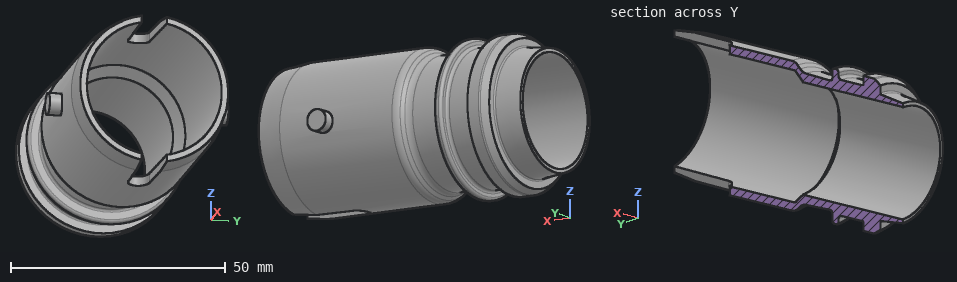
import cadquery as cq
import math

LENGTH = 71.12
FLANGE_RADIUS = 19.05
WALL = 2.29

SPIGOT_TIP_RADIUS = 14.73
SPIGOT_TAPER = 7.0
BORE_RADIUS = 13.72

FLANGE_START = 6.73
FLANGE_END = 11.94
FLANGE_CHAMFER_DEPTH = 1.33
FLANGE_CHAMFER_ANGLE = 35.0
FLANGE_CHAMFER_ROUND = 0.76

GROOVE_RADIUS = 16.7
RING_START = 19.3
RING_END = 21.34
RING_ROUND = 0.76
SMALL_ROUND = 0.38
RING_BACK_ROUND = 0.6

NECK_RADIUS = 15.88
NECK_TAPER = 1.7
SHOULDER_MIDDLE = 31.25
SHOULDER_ROUND = 2.54

SLEEVE_RADIUS = 18.415
SLEEVE_BORE_RADIUS = SLEEVE_RADIUS - WALL
NOSE_LENGTH = 6.35
NOSE_TAPER = 6.5

SLOT_START = 52.1
SLOT_END_RADIUS = 2.54
SLOT_FLARE = 1.6

PIN_X = 52.55
PIN_DIAMETER = 5.15
PIN_SPAN = 42.67


def rise(run, angle):
    """Change in radius over an axial run on a slope of the given angle."""
    return run * math.tan(math.radians(angle))


def rounded_outline(corners):
    """Closed XZ outline from (x, radius, rounding) corners; a rounding of 0 stays sharp."""
    outline = None
    for i, (x, r, rounding) in enumerate(corners):
        corner = cq.Vector(x, r)
        if rounding == 0:
            start = end = corner
        else:
            previous = corners[i - 1]
            following = corners[(i + 1) % len(corners)]
            back = (cq.Vector(previous[0], previous[1]) - corner).normalized()
            ahead = (cq.Vector(following[0], following[1]) - corner).normalized()
            half_angle = back.getAngle(ahead) / 2
            start = corner + back * (rounding / math.tan(half_angle))
            end = corner + ahead * (rounding / math.tan(half_angle))
            to_crown = rounding / math.sin(half_angle) - rounding
            crown = corner + (back + ahead).normalized() * to_crown
        if outline is None:
            outline = cq.Workplane("XZ").moveTo(start.x, start.y)
        else:
            outline = outline.lineTo(start.x, start.y)
        if rounding:
            outline = outline.threePointArc((crown.x, crown.y), (end.x, end.y))
    return outline.close()


def make_body():
    """Hollow turned body, revolved about the X axis."""
    spigot_base_radius = SPIGOT_TIP_RADIUS + rise(FLANGE_START, SPIGOT_TAPER)
    chamfer_run = FLANGE_CHAMFER_DEPTH / math.tan(math.radians(FLANGE_CHAMFER_ANGLE))
    neck_end_radius = NECK_RADIUS + rise(SHOULDER_MIDDLE - RING_END, NECK_TAPER)
    shoulder_half = (SLEEVE_RADIUS - neck_end_radius) / 2
    shoulder_start = SHOULDER_MIDDLE - shoulder_half
    shoulder_end = SHOULDER_MIDDLE + shoulder_half
    nose_start = LENGTH - NOSE_LENGTH
    nose_radius = SLEEVE_RADIUS - rise(NOSE_LENGTH, NOSE_TAPER)
    bore_step_half = (SLEEVE_BORE_RADIUS - BORE_RADIUS) / 2

    outside = [
        (0, SPIGOT_TIP_RADIUS, 0),
        (FLANGE_START, spigot_base_radius, SMALL_ROUND),
        (FLANGE_START, FLANGE_RADIUS - FLANGE_CHAMFER_DEPTH, 0),
        (FLANGE_START + chamfer_run, FLANGE_RADIUS, FLANGE_CHAMFER_ROUND),
        (FLANGE_END, FLANGE_RADIUS, 0),
        (FLANGE_END, GROOVE_RADIUS, SMALL_ROUND),
        (RING_START, GROOVE_RADIUS, RING_ROUND),
        (RING_START, FLANGE_RADIUS, RING_ROUND),
        (RING_END, FLANGE_RADIUS, RING_ROUND),
        (RING_END, NECK_RADIUS, RING_BACK_ROUND),
        (shoulder_start, neck_end_radius, SHOULDER_ROUND),
        (shoulder_end, SLEEVE_RADIUS, SHOULDER_ROUND),
        (nose_start, SLEEVE_RADIUS, 0),
        (LENGTH, nose_radius, 0),
    ]
    inside = [
        (LENGTH, SLEEVE_BORE_RADIUS, 0),
        (SHOULDER_MIDDLE + bore_step_half, SLEEVE_BORE_RADIUS, 0),
        (SHOULDER_MIDDLE - bore_step_half, BORE_RADIUS, 0),
        (0, BORE_RADIUS, 0),
    ]
    return rounded_outline(outside + inside).revolve(360, (0, 0), (1, 0))


def make_slot():
    """Round-ended slot, flaring toward the open end, through both walls."""
    flare = math.radians(SLOT_FLARE)
    centre_x = SLOT_START + SLOT_END_RADIUS
    tangent_x = centre_x - SLOT_END_RADIUS * math.sin(flare)
    tangent_y = SLOT_END_RADIUS * math.cos(flare)
    mouth_y = tangent_y + rise(LENGTH - tangent_x, SLOT_FLARE)
    return (
        cq.Workplane("XY")
        .moveTo(LENGTH, -mouth_y)
        .lineTo(tangent_x, -tangent_y)
        .threePointArc((SLOT_START, 0), (tangent_x, tangent_y))
        .lineTo(LENGTH, mouth_y)
        .close()
        .extrude(SLEEVE_RADIUS, both=True)
    )


def make_pin(side):
    """Round pin rooted mid-wall in the sleeve; side is +1 or -1 along Y."""
    root = SLEEVE_RADIUS - WALL / 2
    direction = cq.Vector(0, side, 0)
    start = cq.Vector(PIN_X, side * root, 0)
    return cq.Solid.makeCylinder(PIN_DIAMETER / 2, PIN_SPAN / 2 - root, start, direction)


result = make_body().cut(make_slot())
for pin_side in (-1, 1):
    result = result.union(cq.Workplane(make_pin(pin_side)))